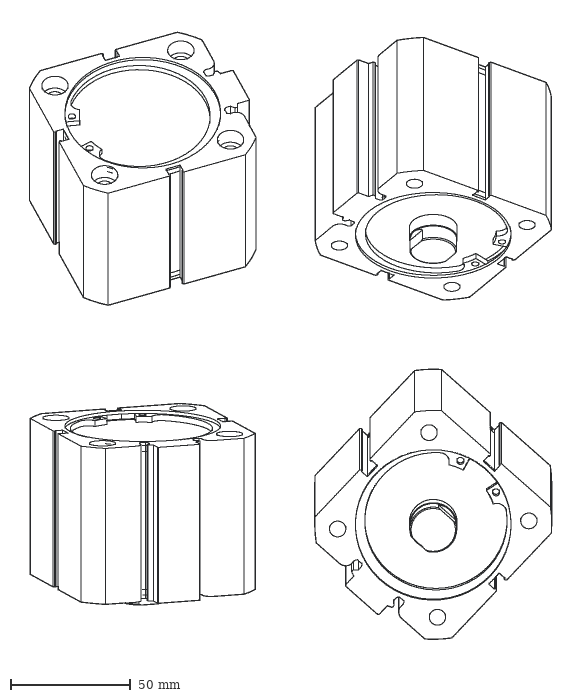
import cadquery as cq
import math

body_width = 77.5
half_width = body_width / 2
body_height = 66.5
corner_diameter = 99.0
bore_diameter = 65.0

bolt_pitch = 56.5
bolt_diameter = 6.8
counterbore_diameter = 11.0
counterbore_depth = 7.0

slot_throat_width = 5.4
slot_inner_width = 6.4
slot_lip_depth = 1.1
slot_depth = 4.35
slot_mouth_chamfer = 0.5
slot_floor_radius = half_width - slot_depth

rail_top = 44.25
rail_half_width = 9.5
rail_corner_chamfer = 0.4
wing_half_width = 11.5
wing_upper_y = 37.9
wing_lower_y = 36.8
undercut_radius = 2.0
undercut_x = 11.9
undercut_y = 34.1
undercut_floor_y = 32.5
undercut_straight_top_y = 35.5
shoulder_radius = 3.75

ring_thickness = 2.5
ring_setback = 1.35
groove_wall = 0.25
groove_radius = slot_floor_radius - groove_wall
ring_inner_radius = 29.7
ring_inner_offset = 1.66
ear_radius = 26.5
ear_gap_angle = 14.2
ear_hole_diameter = 3.0
ear_hole_radius = 29.6
ear_hole_angle = 19.9
ear_notch_radius = 4.0
ear_notch_x = 16.2

head_cover_thickness = 8.0
rod_cover_thickness = 16.0
piston_thickness = 15.0
piston_diameter = bore_diameter
rod_diameter = 20.0
rod_protrusion = 8.0
tip_diameter = 19.5
tip_start = 1.5
tip_chamfer = 0.5
wrench_flat_width = 17.0

lower_ring_z = ring_setback
upper_ring_z = body_height - ring_setback - ring_thickness
rod_cover_z = lower_ring_z + ring_thickness
head_cover_z = upper_ring_z - head_cover_thickness
piston_z = head_cover_z - piston_thickness


def disc(diameter, z, height):
    return cq.Workplane("XY").workplane(offset=z).circle(diameter / 2).extrude(height)


def sensor_slot():
    """Cutter for one slot, open toward -Y and running the full height."""
    mouth = slot_throat_width / 2 + slot_mouth_chamfer
    throat = slot_throat_width / 2
    inner = slot_inner_width / 2
    right_side = [
        (mouth, -half_width),
        (throat, -half_width + slot_mouth_chamfer),
        (throat, -half_width + slot_lip_depth),
        (inner, -half_width + slot_lip_depth),
        (inner, -slot_floor_radius),
    ]
    left_side = [(-x, y) for x, y in reversed(right_side)]
    return cq.Workplane("XY").polyline(right_side + left_side).close().extrude(body_height)


def rail_profile():
    """Port rail, wider than the block's top edge and reaching down into it."""
    right_side = [
        (rail_half_width - rail_corner_chamfer, rail_top),
        (rail_half_width, rail_top - rail_corner_chamfer),
        (rail_half_width, half_width),
        (wing_half_width, wing_upper_y),
        (wing_half_width, wing_lower_y),
        (undercut_x - undercut_radius, undercut_straight_top_y),
        (undercut_x - undercut_radius, undercut_y),
    ]
    left_side = [(-x, y) for x, y in reversed(right_side)]
    return cq.Workplane("XY").polyline(right_side + left_side).close().extrude(body_height)


def flank_recess():
    """Cutter for the recess beside the rail on the +X side."""
    shoulder_y = half_width - shoulder_radius
    centre_distance = undercut_radius + shoulder_radius
    shoulder_x = undercut_x + math.sqrt(centre_distance**2 - (shoulder_y - undercut_y) ** 2)
    touch_share = undercut_radius / centre_distance
    touch_x = undercut_x + touch_share * (shoulder_x - undercut_x)
    touch_y = undercut_y + touch_share * (shoulder_y - undercut_y)
    shoulder_diagonal = shoulder_radius * math.sqrt(0.5)
    opening = (
        cq.Workplane("XY")
        .moveTo(undercut_x, undercut_y)
        .lineTo(touch_x, touch_y)
        .threePointArc(
            (shoulder_x - shoulder_diagonal, shoulder_y + shoulder_diagonal),
            (shoulder_x, half_width),
        )
        .lineTo(0, half_width)
        .lineTo(0, undercut_y)
        .close()
        .extrude(body_height)
    )
    undercut = cq.Workplane("XY").center(undercut_x, undercut_y).circle(undercut_radius).extrude(body_height)
    below_floor = (
        cq.Workplane("XY")
        .center(undercut_x, undercut_floor_y - undercut_radius)
        .rect(2 * undercut_radius, 2 * undercut_radius)
        .extrude(body_height)
    )
    return opening.union(undercut.cut(below_floor))


def ring_groove(z):
    return disc(2 * groove_radius, z, ring_thickness)


def bolt_pattern(diameter, depth):
    """Four cutters of one diameter, sunk from the top face."""
    top = cq.Workplane("XY").workplane(offset=body_height)
    corners = top.rect(bolt_pitch, bolt_pitch, forConstruction=True).vertices()
    return corners.circle(diameter / 2).extrude(-depth)


def make_housing():
    block = cq.Workplane("XY").rect(body_width, body_width).extrude(body_height)
    block = block.intersect(disc(corner_diameter, 0, body_height))
    recess = flank_recess()
    block = block.cut(recess).cut(recess.mirror("YZ"))
    block = block.union(rail_profile())
    block = block.cut(disc(bore_diameter, 0, body_height))
    block = block.cut(bolt_pattern(bolt_diameter, body_height))
    block = block.cut(bolt_pattern(counterbore_diameter, counterbore_depth))
    for angle in (-90, 0, 90):
        block = block.cut(sensor_slot().rotate((0, 0, 0), (0, 0, 1), angle))
    for z in (lower_ring_z, upper_ring_z):
        block = block.cut(ring_groove(z))
    return block


def from_gap(radius, angle):
    """Point at a radius and an angle in degrees from -Y, toward +X."""
    return radius * math.sin(math.radians(angle)), -radius * math.cos(math.radians(angle))


def mirrored(point):
    return -point[0], point[1]


def make_ring(z):
    """Internal retaining ring with two eared ends at -Y."""
    notch_centre_distance = ring_inner_radius - ear_notch_radius
    notch_drop = math.sqrt(notch_centre_distance**2 - ear_notch_x**2)
    notch_y = -ring_inner_offset - notch_drop
    tangent_scale = ring_inner_radius / notch_centre_distance
    notch_end = (ear_notch_x * tangent_scale, -ring_inner_offset - notch_drop * tangent_scale)
    notch_bottom = (ear_notch_x, notch_y - ear_notch_radius)
    notch_distance = math.hypot(ear_notch_x, notch_y)
    notch_angle = math.degrees(math.atan2(ear_notch_x, -notch_y))
    squares = ear_radius**2 + notch_distance**2 - ear_notch_radius**2
    span_angle = math.degrees(math.acos(squares / (2 * ear_radius * notch_distance)))
    ear_end_angle = notch_angle - span_angle

    gap_outer = from_gap(groove_radius, ear_gap_angle)
    gap_inner = from_gap(ear_radius, ear_gap_angle)
    ear_middle = from_gap(ear_radius, (ear_gap_angle + ear_end_angle) / 2)
    ear_end = from_gap(ear_radius, ear_end_angle)
    ear_holes = [from_gap(ear_hole_radius, side * ear_hole_angle) for side in (-1, 1)]
    ring = (
        cq.Workplane("XY")
        .workplane(offset=z)
        .moveTo(*gap_outer)
        .lineTo(*gap_inner)
        .threePointArc(ear_middle, ear_end)
        .threePointArc(notch_bottom, notch_end)
        .threePointArc((0, ring_inner_radius - ring_inner_offset), mirrored(notch_end))
        .threePointArc(mirrored(notch_bottom), mirrored(ear_end))
        .threePointArc(mirrored(ear_middle), mirrored(gap_inner))
        .lineTo(*mirrored(gap_outer))
        .threePointArc((0, groove_radius), gap_outer)
        .close()
        .extrude(ring_thickness)
    )
    holes = cq.Workplane("XY").workplane(offset=z).pushPoints(ear_holes)
    return ring.cut(holes.circle(ear_hole_diameter / 2).extrude(ring_thickness))


def make_head_cover():
    return disc(bore_diameter, head_cover_z, head_cover_thickness)


def make_rod_cover():
    cover = disc(bore_diameter, rod_cover_z, rod_cover_thickness)
    return cover.cut(disc(rod_diameter, rod_cover_z, rod_cover_thickness))


def wrench_flat():
    """Cutter for the flat on the +Y side of the rod tip, with a 45 degree run-out."""
    rod_radius = rod_diameter / 2
    flat_y = wrench_flat_width / 2
    run_out = rod_radius - flat_y
    outline = [
        (rod_radius, -tip_start),
        (flat_y, -tip_start - run_out),
        (flat_y, -rod_protrusion),
        (rod_radius, -rod_protrusion),
    ]
    return cq.Workplane("YZ").polyline(outline).close().extrude(rod_radius, both=True)


def make_piston_rod():
    """Piston and rod in one, with wrench flats on the rod tip."""
    tip = disc(tip_diameter, -rod_protrusion, rod_protrusion).faces("<Z").chamfer(tip_chamfer)
    shoulder_height = (rod_diameter - tip_diameter) / 2
    shoulder_z = -tip_start - shoulder_height
    rod = disc(rod_diameter, shoulder_z, piston_z - shoulder_z).faces("<Z").chamfer(shoulder_height)
    piston = disc(piston_diameter, piston_z, piston_thickness)
    flat = wrench_flat()
    return tip.union(rod).union(piston).cut(flat).cut(flat.mirror("XZ"))


housing = make_housing()
rings = [make_ring(z) for z in (lower_ring_z, upper_ring_z)]
head_cover = make_head_cover()
rod_cover = make_rod_cover()
piston_rod = make_piston_rod()

result = cq.Compound.makeCompound(
    [housing.val(), *[ring.val() for ring in rings], head_cover.val(), rod_cover.val(), piston_rod.val()]
)